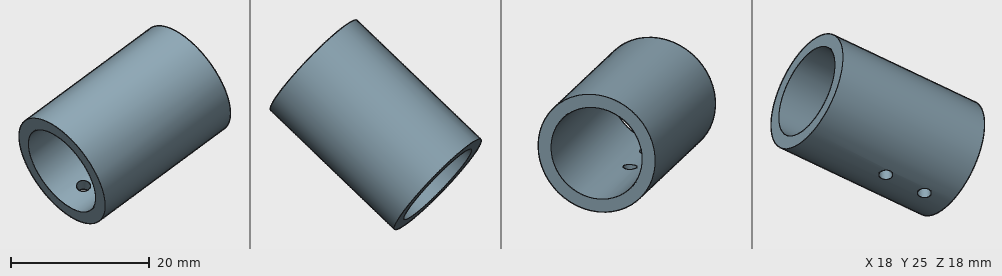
import cadquery as cq

length = 25
outer_diameter = 18
inner_diameter = 14

hole_diameter = 2
front_hole_inset = 4.3
hole_spacing = 6.8

front_y = -length / 2
outer_radius = outer_diameter / 2
first_hole_y = front_y + front_hole_inset
hole_positions = [(0, first_hole_y), (0, first_hole_y + hole_spacing)]

tube = (
    cq.Workplane("XZ", origin=(0, -front_y, 0))
    .circle(outer_radius)
    .circle(inner_diameter / 2)
    .extrude(length)
)

hole_cutters = (
    cq.Workplane("XY", origin=(0, 0, -outer_radius))
    .pushPoints(hole_positions)
    .circle(hole_diameter / 2)
    .extrude(outer_radius)
)

result = tube.cut(hole_cutters)